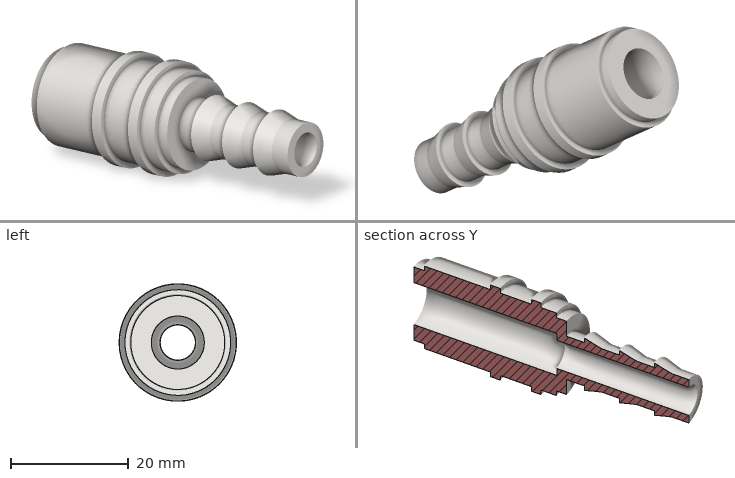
import cadquery as cq


total_length = 54.0
body_length = 30.0
end_step_length = 2.0
ring_width = 2.0
ring_starts = (15.0, 23.0)
socket_depth = body_length - end_step_length

body_diameter = 18.0
end_step_diameter = 16.0
ring_diameter = 20.0
stem_diameter = 9.5
barb_diameter = 11.5
socket_diameter = 9.0
bore_diameter = 6.0

barb_count = 3
stem_length = total_length - body_length
barb_length = stem_length / (2 * barb_count + 1)


def cylinder(start, length, diameter):
    """Solid cylinder along +X from the given start."""
    return cq.Workplane("YZ", origin=(start, 0, 0)).circle(diameter / 2).extrude(length)


def barb(start):
    """Cone with its sharp edge at the start, tapering down to the stem towards +X."""
    profile = [
        (start, 0),
        (start, barb_diameter / 2),
        (start + barb_length, stem_diameter / 2),
        (start + barb_length, 0),
    ]
    return cq.Workplane("XY").polyline(profile).close().revolve(360, (0, 0, 0), (1, 0, 0))


result = cylinder(0, body_length, end_step_diameter)
result = result.union(cylinder(end_step_length, body_length - 2 * end_step_length, body_diameter))
result = result.union(cylinder(body_length, stem_length, stem_diameter))

for ring_start in ring_starts:
    result = result.union(cylinder(ring_start, ring_width, ring_diameter))

for index in range(barb_count):
    barb_start = body_length + (2 * index + 1) * barb_length
    result = result.union(barb(barb_start))

result = result.cut(cylinder(0, socket_depth, socket_diameter))
result = result.cut(cylinder(0, total_length, bore_diameter))